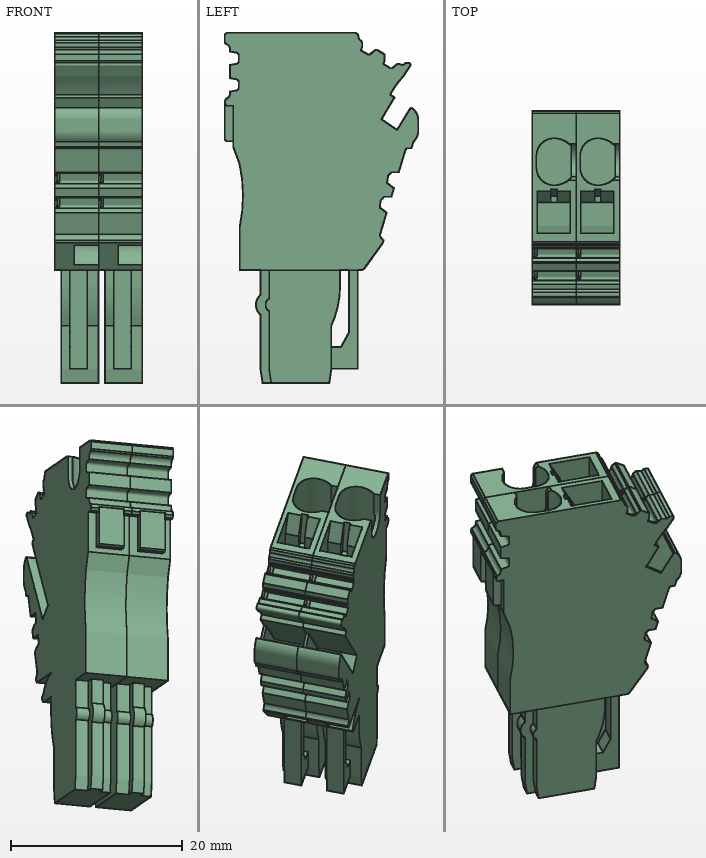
import cadquery as cq
import math


MODULE_COUNT = 2
MODULE_WIDTH = 5.1
TOTAL_HEIGHT = 40.75
TOTAL_DEPTH = 22.55

HOUSING_BOTTOM = 13.12
LOWER_BACK_Y = 20.8
PAD_WALL_Y = 21.55
GRIP_BACK_Y = 21.92
EDGE_ROUND = 0.25

SLOT_BACK = (4.28, 30.7)
SLOT_FRONT = (2.5, 29.45)
SLOT_EXTENSION = (3.85, -6.28)
SLOT_WALL = 0.33

BACK_GROOVE_TOP_Z = 37.78
BACK_GROOVE_PITCH = 3.1
BACK_GROOVE_COUNT = 2
BACK_GROOVE_DEPTH = 1.0
BACK_GROOVE_CORNER = 0.35
BACK_GROOVE_MOUTH_HALF = 0.77
BACK_GROOVE_INNER_HALF = 0.65
BACK_GROOVE_FLOOR_HALF = 0.35
TOP_GROOVE_START = (6.5, 39.08)
TOP_GROOVE_STEP = (-2.6, -1.6)
LOW_GROOVE_START = (2.25, 24.5)
LOW_GROOVE_STEP = (0.85, -2.85)
FRONT_GROOVE_COUNT = 2

TOP_RECESS_LINE = [(0.05, -0.4), (-1.05, -0.8)]
LOW_RECESS_LINE = [(0.98, -0.1), (1.35, -1.3)]

RECESS_LIP = 0.2
RECESS_SLOPE = 0.35
RECESS_DEPTH = 0.6
RECESS_FILLET = 0.25
RECESS_OVERLAP = 0.12

PAD_START_X = 1.0
PAD_WIDTH = 3.05
PAD_BOTTOM_Z = 28.1
PAD_TOP_Z = 32.75
PAD_CHAMFER = 0.2

HOLE_X = 2.53
HOLE_Y = 16.63
HOLE_LENGTH = 5.45
HOLE_WIDTH = 4.08
HOLE_DEPTH = 10.2

NOTCH_BACK_Y = 18.7
NOTCH_WIDTH = 3.8
NOTCH_STRAIGHT = 2.6
NOTCH_ROUND_RUN = 0.4
NOTCH_ROUND_DROP = 0.75
NOTCH_ROUND_BULGE = 0.4

RELEASE_X = 0.57
RELEASE_WIDTH = 3.85
RELEASE_BACK_Y = 13.2
RELEASE_LENGTH = 4.9
RELEASE_DEPTH = 6.1
RELEASE_END_SLOPE = 0.15
RELEASE_END_LENGTH = 0.85
RAMP_LENGTH = 1.25
RAMP_DROP = 2.25
RELEASE_FILLET = 0.25
CHANNEL_X = 2.15
CHANNEL_WIDTH = 0.75
CHANNEL_SETBACK = 0.25
CHANNEL_LENGTH = 1.67
CHANNEL_RAMP = 0.8
CHANNEL_DEPTH = 4.08

POCKET_X = 2.3

PLUG_X = 0.75
PLUG_BACK_Y = 17.35
PLUG_TOP_FRONT_Y = 9.1
PLUG_LOW_FRONT_Y = 10.1
TAPER_HEIGHT = 1.65
TAPER_RUN = 0.25
RIB_X = 2.05
RIB_WIDTH = 1.45
RIB_BACK_Y = 18.38
RIB_ROOT = 2.05
BUMP_Z = 9.1
TONGUE_BUMP_HALF = 0.75
TONGUE_BUMP_RISE = 0.4
RIB_BUMP_HALF = 1.15
RIB_BUMP_RISE = 0.55
ARM_X = 1.75
ARM_WIDTH = 2.05
ARM_FRONT_Y = 7.05
ARM_THICKNESS = 1.0
FOOT_BOTTOM_Z = 1.65
FOOT_TOP_Z = 4.2
FOOT_SLOPE_RUN = 0.95
FOOT_SLOPE_RISE = 1.7


def plane_at(x):
    """YZ workplane at the given X; sketch coordinates are (Y, Z)."""
    return cq.Workplane("YZ", origin=(x, 0, 0))


def prism(x, width, points):
    """Straight-sided (Y, Z) profile extruded along +X from x."""
    return plane_at(x).polyline(points).close().extrude(width)


def shifted(points, offset):
    """The points moved by the offset."""
    return [(y + offset[0], z + offset[1]) for y, z in points]


def steps(start, step, count):
    """Evenly stepped origins of a row of repeated features."""
    return [(start[0] + i * step[0], start[1] + i * step[1]) for i in range(count)]


def top_groove_points():
    """Toothed front edge below the top face, from back to front."""
    groove = [(0, 0), (0.15, -0.35), (-0.65, -0.85), (-0.85, -0.85), (-1.5, -0.33)]
    tooth_top = [(-1.67, -0.3), (-2.6, -0.85)]
    first, second = steps(TOP_GROOVE_START, TOP_GROOVE_STEP, FRONT_GROOVE_COUNT)
    return shifted(groove + tooth_top, first) + shifted(groove, second)


def housing_block():
    """Extruded side outline of the housing, still without the lower and back grooves."""
    outline = (
        plane_at(0)
        .moveTo(TOTAL_DEPTH - EDGE_ROUND, TOTAL_HEIGHT)
        .lineTo(7.35, TOTAL_HEIGHT)
        .lineTo(7.1, 40.63)
        .lineTo(6.93, 40.3)
        .threePointArc((6.9, 40.0), (6.7, 39.85))
        .lineTo(6.5, 39.6)
    )
    for point in top_groove_points():
        outline = outline.lineTo(*point)
    return (
        outline
        .lineTo(1.8, 37.0)
        .lineTo(1.45, 37.25)
        .lineTo(1.15, 37.25)
        .threePointArc((0.95, 37.12), (0.98, 36.85))
        .lineTo(1.75, 35.65)
        .threePointArc((2.55, 34.68), (3.25, 33.55))
        .lineTo(2.77, 33.2)
        .lineTo(*SLOT_BACK)
        .lineTo(*SLOT_FRONT)
        .lineTo(0.98, 31.9)
        .lineTo(0.8, 32.03)
        .threePointArc((0.25, 31.45), (0, 30.7))
        .lineTo(0, 29.15)
        .threePointArc((0.15, 28.6), (0.57, 28.05))
        .lineTo(0.75, 27.45)
        .lineTo(0.85, 27.3)
        .lineTo(1.4, 27.3)
        .lineTo(1.5, 27.05)
        .lineTo(4.45, 17.28)
        .threePointArc((4.4, 17.05), (4.28, 16.85))
        .lineTo(4.05, 16.6)
        .lineTo(4.1, 16.3)
        .lineTo(6.28, 13.33)
        .threePointArc((6.4, 13.2), (6.6, HOUSING_BOTTOM))
        .lineTo(LOWER_BACK_Y, HOUSING_BOTTOM)
        .lineTo(LOWER_BACK_Y, 18.2)
        .threePointArc((20.4, 21.68), (20.82, 25.5))
        .lineTo(PAD_WALL_Y, 27.5)
        .lineTo(PAD_WALL_Y, 32.27)
        .lineTo(22.35, 32.27)
        .lineTo(TOTAL_DEPTH, 32.6)
        .lineTo(22.4, 33.05)
        .threePointArc((22.05, 33.3), (GRIP_BACK_Y, 33.75))
        .lineTo(GRIP_BACK_Y, 38.7)
        .threePointArc((22.05, 39.2), (22.4, 39.45))
        .lineTo(TOTAL_DEPTH, 39.65)
        .lineTo(TOTAL_DEPTH, TOTAL_HEIGHT - EDGE_ROUND)
        .close()
        .extrude(MODULE_WIDTH)
    )


def back_groove(center_z):
    """Round-cornered finger groove across the upper back wall."""
    floor_y = GRIP_BACK_Y - BACK_GROOVE_DEPTH
    corner_y = floor_y + BACK_GROOVE_CORNER
    return (
        plane_at(0)
        .moveTo(GRIP_BACK_Y, center_z + BACK_GROOVE_MOUTH_HALF)
        .lineTo(corner_y, center_z + BACK_GROOVE_INNER_HALF)
        .threePointArc((floor_y + 0.1, center_z + 0.55), (floor_y, center_z + BACK_GROOVE_FLOOR_HALF))
        .lineTo(floor_y, center_z - BACK_GROOVE_FLOOR_HALF)
        .threePointArc((floor_y + 0.1, center_z - 0.55), (corner_y, center_z - BACK_GROOVE_INNER_HALF))
        .lineTo(GRIP_BACK_Y, center_z - BACK_GROOVE_MOUTH_HALF)
        .close()
        .extrude(MODULE_WIDTH)
    )


def low_groove(origin):
    """Finger groove in the lower front slope; origin is the tip of the tooth above it."""
    shape = [(0, 0), (0.9, 0), (1.25, -0.35), (1.4, -1.22), (0.57, -1.85), (-0.2, -1.0)]
    return prism(0, MODULE_WIDTH, shifted(shape, origin))


def groove_recess(upper, lower):
    """Recess below the line upper-lower of a groove floor, open towards +X."""
    run_y = lower[0] - upper[0]
    run_z = lower[1] - upper[1]
    length = math.hypot(run_y, run_z)
    floor_line = cq.Plane(origin=(0, *upper), xDir=(1, 0, 0), normal=(0, run_y, run_z))
    lower_edge = floor_line.toWorldCoords((MODULE_WIDTH / 2, -RECESS_DEPTH, length))
    return (
        cq.Workplane(floor_line)
        .moveTo(RECESS_LIP, RECESS_OVERLAP)
        .lineTo(MODULE_WIDTH, RECESS_OVERLAP)
        .lineTo(MODULE_WIDTH, -RECESS_DEPTH)
        .lineTo(RECESS_LIP + RECESS_SLOPE, -RECESS_DEPTH)
        .lineTo(RECESS_LIP, 0)
        .close()
        .extrude(length)
        .edges(cq.NearestToPointSelector(lower_edge.toTuple()))
        .fillet(RECESS_FILLET)
    )


def latch_slot():
    """Deep continuation of the latch slot, open towards +X."""
    deep_end = shifted([SLOT_FRONT, SLOT_BACK], SLOT_EXTENSION)
    return prism(SLOT_WALL, MODULE_WIDTH - SLOT_WALL, [SLOT_BACK, SLOT_FRONT] + deep_end)


def back_pad():
    """Raised pad on the back wall, chamfered at its lower outer edge."""
    return prism(PAD_START_X, PAD_WIDTH, [
        (PAD_WALL_Y, PAD_BOTTOM_Z),
        (TOTAL_DEPTH - PAD_CHAMFER, PAD_BOTTOM_Z),
        (TOTAL_DEPTH, PAD_BOTTOM_Z + PAD_CHAMFER),
        (TOTAL_DEPTH, PAD_TOP_Z),
        (PAD_WALL_Y, PAD_TOP_Z),
    ])


def wire_entry():
    """Blind wire hole: a slot on the -X side, a wider circle cut flat on the +X side."""
    hole_top = cq.Workplane("XY", origin=(HOLE_X, HOLE_Y, TOTAL_HEIGHT))
    slot = hole_top.slot2D(HOLE_LENGTH, HOLE_WIDTH, 90).extrude(-HOLE_DEPTH)
    flat_side = hole_top.center(HOLE_WIDTH / 4, 0).rect(HOLE_WIDTH / 2, HOLE_LENGTH).extrude(-HOLE_DEPTH)
    circle = hole_top.circle(HOLE_LENGTH / 2).extrude(-HOLE_DEPTH)
    return slot.union(circle.intersect(flat_side))


def wire_notch():
    """U-shaped notch through the +X wall of the wire entry, rounded over at its front edge."""
    radius = NOTCH_WIDTH / 2
    front_y = NOTCH_BACK_Y - NOTCH_WIDTH
    round_mid_y = front_y - NOTCH_ROUND_BULGE * NOTCH_ROUND_RUN
    round_mid_z = TOTAL_HEIGHT - NOTCH_ROUND_BULGE * NOTCH_ROUND_DROP
    arc_z = TOTAL_HEIGHT - NOTCH_STRAIGHT
    return (
        plane_at(HOLE_X)
        .moveTo(NOTCH_BACK_Y, TOTAL_HEIGHT)
        .lineTo(NOTCH_BACK_Y, arc_z)
        .threePointArc((NOTCH_BACK_Y - radius, arc_z - radius), (front_y, arc_z))
        .lineTo(front_y, TOTAL_HEIGHT - NOTCH_ROUND_DROP)
        .threePointArc((round_mid_y, round_mid_z), (front_y - NOTCH_ROUND_RUN, TOTAL_HEIGHT))
        .close()
        .extrude(MODULE_WIDTH - HOLE_X)
    )


def release_opening():
    """Rectangular opening with a ramp at its back and a channel down the ramp."""
    ramp_end_y = RELEASE_BACK_Y - RAMP_LENGTH
    front_y = RELEASE_BACK_Y - RELEASE_LENGTH
    floor_z = TOTAL_HEIGHT - RELEASE_DEPTH
    fillet_mid = RELEASE_FILLET * (1 - math.sqrt(0.5))
    opening = (
        plane_at(RELEASE_X)
        .moveTo(RELEASE_BACK_Y, TOTAL_HEIGHT)
        .lineTo(ramp_end_y, TOTAL_HEIGHT - RAMP_DROP)
        .lineTo(ramp_end_y, floor_z + RELEASE_FILLET)
        .threePointArc(
            (ramp_end_y - fillet_mid, floor_z + fillet_mid),
            (ramp_end_y - RELEASE_FILLET, floor_z),
        )
        .lineTo(front_y + RELEASE_END_LENGTH, floor_z)
        .lineTo(front_y, floor_z - RELEASE_END_SLOPE)
        .lineTo(front_y, TOTAL_HEIGHT)
        .close()
        .extrude(RELEASE_WIDTH)
    )
    channel_back_y = RELEASE_BACK_Y + CHANNEL_SETBACK
    channel_front_y = channel_back_y - CHANNEL_LENGTH
    channel_floor_z = TOTAL_HEIGHT - CHANNEL_DEPTH
    channel = prism(CHANNEL_X, CHANNEL_WIDTH, [
        (channel_back_y, TOTAL_HEIGHT),
        (channel_back_y - CHANNEL_RAMP, channel_floor_z),
        (channel_front_y, channel_floor_z),
        (channel_front_y, TOTAL_HEIGHT),
    ])
    return opening.union(channel)


def slope_pocket():
    """Pocket in the lower front slope with a curved lower wall, open towards +X."""
    return (
        plane_at(POCKET_X)
        .moveTo(4.3, 16.0)
        .lineTo(9.15, 16.0)
        .threePointArc((7.5, 15.25), (6.5, 14.15))
        .lineTo(6.0, 13.75)
        .lineTo(4.3, 13.75)
        .close()
        .extrude(MODULE_WIDTH - POCKET_X)
    )


def housing():
    """Complete housing of one module without the plug."""
    body = housing_block()
    for i in range(BACK_GROOVE_COUNT):
        body = body.cut(back_groove(BACK_GROOVE_TOP_Z - i * BACK_GROOVE_PITCH))
    for origin in steps(LOW_GROOVE_START, LOW_GROOVE_STEP, FRONT_GROOVE_COUNT):
        body = body.cut(low_groove(origin))
        upper, lower = shifted(LOW_RECESS_LINE, origin)
        body = body.cut(groove_recess(upper, lower))
    for origin in steps(TOP_GROOVE_START, TOP_GROOVE_STEP, FRONT_GROOVE_COUNT):
        upper, lower = shifted(TOP_RECESS_LINE, origin)
        body = body.cut(groove_recess(upper, lower))
    for cutter in (latch_slot(), wire_entry(), wire_notch(), release_opening(), slope_pocket()):
        body = body.cut(cutter)
    return body.union(back_pad())


def bumped_back(x, back_y, bump_half, bump_rise):
    """Back edge of a plug profile, from the top down: latching bump, then taper."""
    return (
        plane_at(x)
        .moveTo(back_y, HOUSING_BOTTOM)
        .lineTo(back_y, BUMP_Z + bump_half)
        .threePointArc((back_y + bump_rise, BUMP_Z), (back_y, BUMP_Z - bump_half))
        .lineTo(back_y, TAPER_HEIGHT)
        .lineTo(back_y - TAPER_RUN, 0)
    )


def tongue():
    """Main tongue of the plug, tapered at its end and flared in front."""
    return (
        bumped_back(PLUG_X, PLUG_BACK_Y, TONGUE_BUMP_HALF, TONGUE_BUMP_RISE)
        .lineTo(PLUG_LOW_FRONT_Y + TAPER_RUN, 0)
        .lineTo(PLUG_LOW_FRONT_Y, TAPER_HEIGHT)
        .lineTo(PLUG_LOW_FRONT_Y, 6.7)
        .threePointArc((9.37, 8.85), (PLUG_TOP_FRONT_Y, 11.25))
        .lineTo(PLUG_TOP_FRONT_Y, HOUSING_BOTTOM)
        .close()
        .extrude(MODULE_WIDTH - PLUG_X)
    )


def back_rib():
    """Narrow rib along the back of the tongue."""
    inner_y = PLUG_BACK_Y - RIB_ROOT
    return (
        bumped_back(RIB_X, RIB_BACK_Y, RIB_BUMP_HALF, RIB_BUMP_RISE)
        .lineTo(inner_y, 0)
        .lineTo(inner_y, HOUSING_BOTTOM)
        .close()
        .extrude(RIB_WIDTH)
    )


def clip_arm():
    """Coding arm in front of the plug, joined to it by a foot."""
    arm_back_y = ARM_FRONT_Y + ARM_THICKNESS
    return prism(ARM_X, ARM_WIDTH, [
        (ARM_FRONT_Y, HOUSING_BOTTOM),
        (arm_back_y, HOUSING_BOTTOM),
        (arm_back_y, FOOT_TOP_Z + FOOT_SLOPE_RISE),
        (arm_back_y + FOOT_SLOPE_RUN, FOOT_TOP_Z),
        (PLUG_LOW_FRONT_Y, FOOT_TOP_Z),
        (PLUG_LOW_FRONT_Y, FOOT_BOTTOM_Z),
        (ARM_FRONT_Y, FOOT_BOTTOM_Z),
    ])


def plug():
    """Plug below the housing: main tongue, back rib and coding arm."""
    return tongue().union(back_rib()).union(clip_arm())


def terminal_module(index):
    """One complete module, placed at its position in the row."""
    return housing().union(plug()).translate((index * MODULE_WIDTH, 0, 0))


modules = [terminal_module(i) for i in range(MODULE_COUNT)]

result = cq.Compound.makeCompound([module.val() for module in modules])